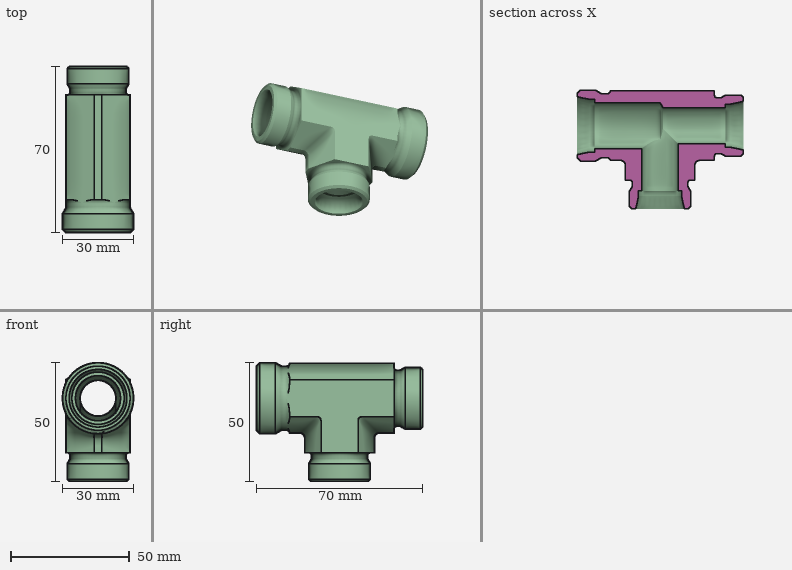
import cadquery as cq
import math


across_flats = 27.0
ridge_height = 14.7
valley_radius = 2.0
port_reach = 35.0

cone_angle = 30.0
mouth_angle = 12.0
drill_half_angle = 59.0
tube_depth = 7.5

small_port = {
    "thread": 26.0,
    "neck": 23.7,
    "shoulder": 23.0,
    "root_radius": 0.9,
    "thread_length": 7.4,
    "chamfer": 1.0,
    "tube": 18.0,
    "mouth": 20.3,
}
large_port = {
    "thread": 30.0,
    "neck": 27.0,
    "shoulder": 21.05,
    "root_radius": 1.25,
    "thread_length": 7.9,
    "chamfer": 1.5,
    "tube": 22.0,
    "mouth": 24.3,
}

small_bore = 15.0
large_bore = 19.0

back_plane = cq.Plane(origin=(0, 0, 0), xDir=(1, 0, 0), normal=(0, 0, 1))
front_plane = cq.Plane(origin=(0, 0, 0), xDir=(1, 0, 0), normal=(0, 0, -1))
branch_plane = cq.Plane(origin=(0, 0, 0), xDir=(1, 0, 0), normal=(0, 1, 0))


def revolve_about_port(profile):
    return profile.close().revolve(360, (0, 0, 0), (0, 1, 0))


def hexagon_prism(plane_name, length):
    """Hexagon with flats on +-X and the two remaining ridges blunted."""
    half_flats = across_flats / 2
    slope = math.tan(math.radians(30))
    side_corner = half_flats * slope
    peak = across_flats / math.sqrt(3)
    ridge_half_width = (peak - ridge_height) / slope
    upper = [
        (half_flats, side_corner),
        (ridge_half_width, ridge_height),
        (-ridge_half_width, ridge_height),
        (-half_flats, side_corner),
    ]
    lower = [(-x, -y) for x, y in upper]
    return cq.Workplane(plane_name).polyline(upper + lower).close().extrude(length)


def make_body():
    run = hexagon_prism("XZ", large_port["shoulder"]).union(hexagon_prism("XZ", -small_port["shoulder"]))
    body = run.union(hexagon_prism("XY", -small_port["shoulder"])).clean()

    def is_valley(edge):
        center = edge.Center()
        return center.z < 0 and math.isclose(abs(center.y), abs(center.z), abs_tol=1e-3)

    valleys = [edge for edge in body.edges().vals() if is_valley(edge)]
    return body.newObject(valleys).fillet(valley_radius)


def make_stud(plane, port):
    """Solid stud from the neck to the end face."""
    thread_radius = port["thread"] / 2
    neck_radius = port["neck"] / 2
    radius = port["root_radius"]
    cone = math.radians(cone_angle)
    chamfer = port["chamfer"]
    cone_end = port_reach - port["thread_length"]
    cone_start = cone_end - (thread_radius - neck_radius) / math.tan(cone)
    tangent = radius * math.tan(cone / 2)
    arc_start = cone_start - tangent
    arc_mid = (neck_radius + radius * (1 - math.cos(cone / 2)), arc_start + radius * math.sin(cone / 2))
    arc_end = (neck_radius + radius * (1 - math.cos(cone)), arc_start + radius * math.sin(cone))
    profile = (
        cq.Workplane(plane)
        .lineTo(neck_radius, 0)
        .lineTo(neck_radius, arc_start)
        .threePointArc(arc_mid, arc_end)
        .lineTo(thread_radius, cone_end)
        .lineTo(thread_radius, port_reach - chamfer)
        .lineTo(thread_radius - chamfer, port_reach)
        .lineTo(0, port_reach)
    )
    return revolve_about_port(profile)


def make_root(plane, port):
    """Flare that rounds the neck into the end of the hexagon."""
    neck_radius = port["neck"] / 2
    radius = port["root_radius"]
    shoulder = port["shoulder"]
    diagonal = radius * (1 - math.sqrt(0.5))
    profile = (
        cq.Workplane(plane)
        .moveTo(0, shoulder)
        .lineTo(neck_radius + radius, shoulder)
        .threePointArc((neck_radius + diagonal, shoulder + diagonal), (neck_radius, shoulder + radius))
        .lineTo(0, shoulder + radius)
    )
    return revolve_about_port(profile)


def make_socket(plane, port):
    """Tube socket with its conical mouth."""
    tube_radius = port["tube"] / 2
    mouth_radius = port["mouth"] / 2
    mouth_depth = (mouth_radius - tube_radius) / math.tan(math.radians(mouth_angle))
    profile = (
        cq.Workplane(plane)
        .moveTo(0, port_reach - tube_depth)
        .lineTo(tube_radius, port_reach - tube_depth)
        .lineTo(tube_radius, port_reach - mouth_depth)
        .lineTo(mouth_radius, port_reach)
        .lineTo(0, port_reach)
    )
    return revolve_about_port(profile)


def make_drilling(plane, diameter):
    """Hole from the port face to the origin, ending in a drill point."""
    radius = diameter / 2
    tip = -radius / math.tan(math.radians(drill_half_angle))
    profile = (
        cq.Workplane(plane)
        .moveTo(0, tip)
        .lineTo(radius, 0)
        .lineTo(radius, port_reach)
        .lineTo(0, port_reach)
    )
    return revolve_about_port(profile)


ports = [
    (front_plane, large_port, large_bore),
    (back_plane, small_port, small_bore),
    (branch_plane, small_port, small_bore),
]

result = make_body()

flare_limit = hexagon_prism("XZ", port_reach)
result = result.union(make_root(front_plane, large_port).intersect(flare_limit))
for plane in (back_plane, branch_plane):
    result = result.union(make_root(plane, small_port))

for plane, port, _ in ports:
    result = result.union(make_stud(plane, port))

for plane, port, bore in ports:
    result = result.cut(make_drilling(plane, bore))
    result = result.cut(make_socket(plane, port))